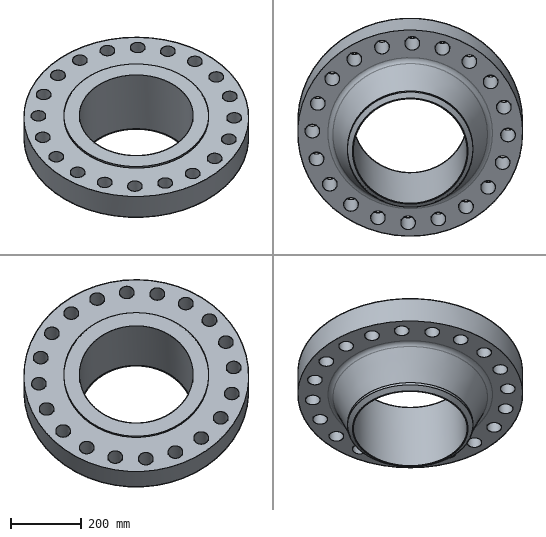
import cadquery as cq
import math

total_height = 219.5
flange_diameter = 641.5
flange_thickness = 84.5
raised_face_diameter = 413.0
raised_face_height = 6.5
bore_diameter = 324.5

weld_end_diameter = 358.0
weld_land_height = 8.5
bevel_height = 10.0
bevel_width = 14.0
neck_taper_angle = 22.5
neck_fillet_radius = 15.5

hole_count = 20
hole_diameter = 42.0
bolt_circle_diameter = 558.0

flange_top = total_height - raised_face_height
flange_bottom = flange_top - flange_thickness
land_bottom = bevel_height
land_top = land_bottom + weld_land_height

weld_end_radius = weld_end_diameter / 2
taper = math.radians(neck_taper_angle)
neck_root_radius = weld_end_radius + (flange_bottom - land_top) * math.tan(taper)

fillet_turn = math.pi / 2 - taper
fillet_tangent_length = neck_fillet_radius * math.tan(fillet_turn / 2)
fillet_end_radius = neck_root_radius + fillet_tangent_length
fillet_center_height = flange_bottom - neck_fillet_radius


def fillet_point(angle):
    """Point on the fillet arc, at an angle measured from the upward axis toward the bore."""
    return (
        fillet_end_radius - neck_fillet_radius * math.sin(angle),
        fillet_center_height + neck_fillet_radius * math.cos(angle),
    )


def make_body():
    """Revolve the half section, from the bore wall to the flange rim."""
    bore_radius = bore_diameter / 2
    raised_face_radius = raised_face_diameter / 2
    flange_radius = flange_diameter / 2
    profile = (
        cq.Workplane("XZ")
        .moveTo(bore_radius, 0)
        .lineTo(weld_end_radius - bevel_width, 0)
        .lineTo(weld_end_radius, land_bottom)
        .lineTo(weld_end_radius, land_top)
        .lineTo(*fillet_point(fillet_turn))
        .threePointArc(fillet_point(fillet_turn / 2), fillet_point(0))
        .lineTo(flange_radius, flange_bottom)
        .lineTo(flange_radius, flange_top)
        .lineTo(raised_face_radius, flange_top)
        .lineTo(raised_face_radius, total_height)
        .lineTo(bore_radius, total_height)
        .close()
    )
    return profile.revolve(360, (0, 0, 0), (0, 1, 0))


def make_bolt_holes():
    """Cylinders through the flange, the first one on the +X axis."""
    return (
        cq.Workplane("XY", origin=(0, 0, flange_bottom))
        .polarArray(bolt_circle_diameter / 2, 0, 360, hole_count)
        .circle(hole_diameter / 2)
        .extrude(flange_thickness)
    )


result = make_body().cut(make_bolt_holes())